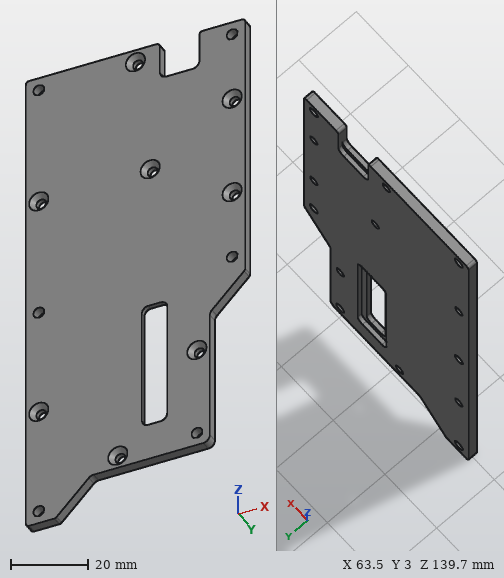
import cadquery as cq

width = 63.5
thickness = 3.0
height = 139.7

corner_step = 10.2
foot_width = 8.7
slope_foot = 50.6
outer_radius = 1.0
step_radius = 2.0
step_x = width - corner_step

notch_left = 38.8
notch_width = 11.5
notch_depth = 11.0
notch_radius = 2.0
notch_floor = height - notch_depth

slot_left = 33.7
slot_bottom = 21.0
slot_width = 7.3
slot_height = 37.3
slot_radius = 1.8

relief_depth = 1.4
relief_margin = 2.0

edge_margin = 3.8
hole_diameter = 3.1
screw_diameter = 2.8
countersink_diameter = 5.6
countersink_angle = 90

left_column = edge_margin
right_column = width - edge_margin
step_column = step_x - edge_margin
top_row = height - edge_margin
step_row = corner_step + edge_margin
upper_row = 101.0

plain_holes = [
    (left_column, top_row),
    (right_column, top_row),
    (left_column, 66.1),
    (right_column, 66.1),
    (step_column, step_row),
    (left_column, edge_margin),
]
countersunk_holes = [
    (width / 2, top_row),
    (right_column, 115.7),
    (left_column, upper_row),
    (36.0, upper_row),
    (right_column, 86.3),
    (step_column, 40.0),
    (left_column, 34.9),
    (26.7, step_row),
]


def fillet_corners(body, corners, radius):
    """Round the edges that run through the plate at the given (x, z) corners."""
    for x, z in corners:
        edge = cq.selectors.NearestToPointSelector((x, thickness / 2, z))
        body = body.edges("|Y").edges(edge).fillet(radius)
    return body


def rounded_block(left, bottom, block_width, block_height, radius, front, back):
    """Block from Y = front to Y = back with its four corners rounded."""
    block = cq.Workplane("XY").box(block_width, back - front, block_height, centered=False)
    return block.edges("|Y").fillet(radius).translate((left, front, bottom))


def plate():
    outline = [
        (0, 0),
        (foot_width, 0),
        (foot_width + corner_step, corner_step),
        (step_x, corner_step),
        (step_x, slope_foot),
        (width, slope_foot + corner_step),
        (width, height),
        (notch_left + notch_width, height),
        (notch_left + notch_width, notch_floor),
        (notch_left, notch_floor),
        (notch_left, height),
        (0, height),
    ]
    (bottom_left, foot, lower_bend, step_corner, upper_bend, slope_top, top_right,
     notch_top_right, notch_low_right, notch_low_left, notch_top_left, top_left) = outline
    body = cq.Workplane("XZ").polyline(outline).close().extrude(-thickness)
    plate_corners = [bottom_left, foot, slope_top, top_right, notch_top_right, notch_top_left, top_left]
    body = fillet_corners(body, plate_corners, outer_radius)
    body = fillet_corners(body, [lower_bend, step_corner, upper_bend], step_radius)
    return fillet_corners(body, [notch_low_right, notch_low_left], notch_radius)


def slot():
    return rounded_block(slot_left, slot_bottom, slot_width, slot_height, slot_radius, 0, thickness)


def slot_relief():
    return rounded_block(
        slot_left - relief_margin,
        slot_bottom - relief_margin,
        slot_width + 2 * relief_margin,
        slot_height + 2 * relief_margin,
        slot_radius,
        thickness - relief_depth,
        thickness,
    )


def notch_relief():
    """Carries the notch further down over the rear part of the thickness."""
    return rounded_block(
        notch_left,
        notch_floor - relief_margin,
        notch_width,
        notch_depth,
        notch_radius,
        thickness - relief_depth,
        thickness,
    )


body = plate().cut(slot()).cut(slot_relief()).cut(notch_relief())

front_face = cq.Workplane("XZ")
body = body.cut(front_face.pushPoints(plain_holes).circle(hole_diameter / 2).extrude(-thickness))
result = (
    body.copyWorkplane(front_face)
    .pushPoints(countersunk_holes)
    .cskHole(screw_diameter, countersink_diameter, countersink_angle)
)